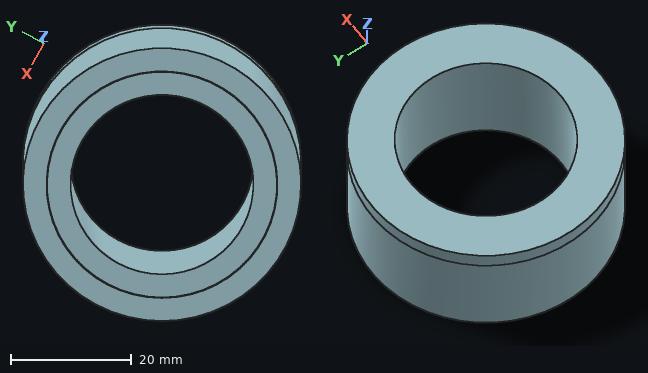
import cadquery as cq

outer_diameter = 46.0
bore_diameter = 30.2
total_height = 20.2

flange_thickness = 3.0
sleeve_diameter = 38.0

ring_height = total_height - flange_thickness
ring_bore_diameter = 38.2


def make_outer_ring():
    """Plain ring from the base up to the underside of the flange."""
    return (
        cq.Workplane("XY")
        .circle(outer_diameter / 2)
        .circle(ring_bore_diameter / 2)
        .extrude(ring_height)
    )


def make_flanged_sleeve():
    """Flange on top of the ring, with a full-height sleeve inside it."""
    sleeve = cq.Workplane("XY").circle(sleeve_diameter / 2).extrude(total_height)
    flange = (
        cq.Workplane("XY")
        .workplane(offset=ring_height)
        .circle(outer_diameter / 2)
        .extrude(flange_thickness)
    )
    bore = cq.Workplane("XY").circle(bore_diameter / 2).extrude(total_height)
    return sleeve.union(flange).cut(bore)


outer_ring = make_outer_ring()
flanged_sleeve = make_flanged_sleeve()

result = cq.Compound.makeCompound([outer_ring.val(), flanged_sleeve.val()])